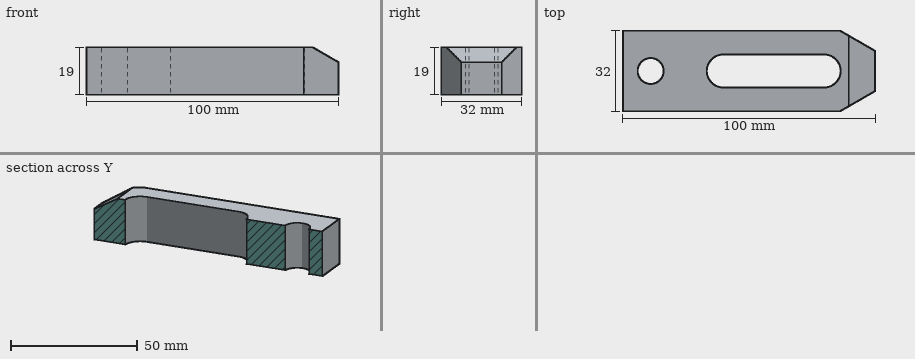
import cadquery as cq
import math

length = 100.0
width = 32.0
height = 19.0

nose_angle = math.radians(30)
nose_width = 16.0
nose_drop = 6.0
side_taper_length = (width - nose_width) / 2 / math.tan(nose_angle)
top_taper_length = nose_drop / math.tan(nose_angle)

hole_diameter = 10.2
hole_x = 11.0
slot_width = 13.0
slot_start_x = 33.3
slot_end_x = 86.3
slot_length = slot_end_x - slot_start_x
slot_center_x = (slot_start_x + slot_end_x) / 2


def tapered_bar():
    """Bar narrowed by the side tapers, then cut to the sloped top profile."""
    plan = (
        cq.Workplane("XY")
        .moveTo(0, -width / 2)
        .lineTo(length - side_taper_length, -width / 2)
        .lineTo(length, -nose_width / 2)
        .lineTo(length, nose_width / 2)
        .lineTo(length - side_taper_length, width / 2)
        .lineTo(0, width / 2)
        .close()
        .extrude(height)
    )
    side_profile = (
        cq.Workplane("XZ")
        .lineTo(length, 0)
        .lineTo(length, height - nose_drop)
        .lineTo(length - top_taper_length, height)
        .lineTo(0, height)
        .close()
        .extrude(width / 2, both=True)
    )
    return plan.intersect(side_profile)


def round_hole():
    return cq.Workplane("XY").center(hole_x, 0).circle(hole_diameter / 2).extrude(height)


def clamp_slot():
    return cq.Workplane("XY").center(slot_center_x, 0).slot2D(slot_length, slot_width).extrude(height)


result = tapered_bar().cut(round_hole()).cut(clamp_slot())